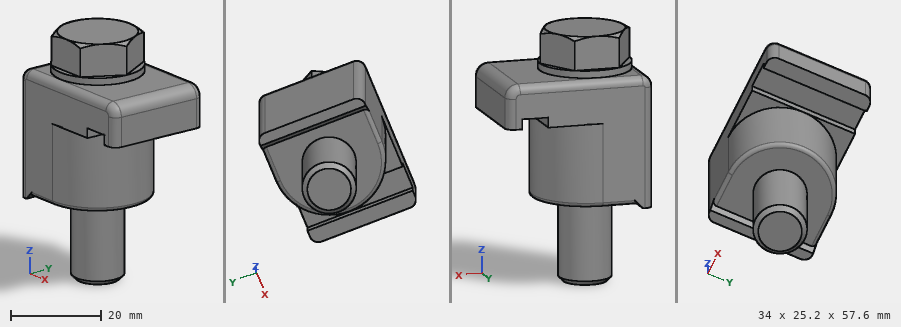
import cadquery as cq
import math

total_height = 57.6
length = 34
width = 25.2
half_width = width / 2

bolt_x = 12.05
head_height = 7.5
head_across_flats = 18.0
head_chamfer_angle = 30
washer_diameter = 20.9
washer_thickness = 1.6
shank_diameter = 12.0
shank_chamfer = 1.15

body_top = total_height - head_height - washer_thickness
arm_bottom = body_top - 10.0
notch_top = body_top - 7.7
leg_bottom = body_top - 29.0
lip_bottom = body_top - 30.0

leg_end = 24.4
notch_end = 30.45
lip_thickness = 2.4
lip_slope_end = lip_thickness + leg_bottom - lip_bottom

corner_radius = 2.0
left_top_radius = 2.5
right_top_radius = 3.0
leg_bottom_radius = 1.0


def side_prism(points):
    """Extrude an XZ outline over the full width of the clamp."""
    return cq.Workplane("XZ").polyline(points).close().extrude(half_width, both=True)


def make_arm():
    """Top plate with a downturned hook at its free end."""
    return side_prism([
        (0, arm_bottom),
        (0, body_top),
        (length, body_top),
        (length, arm_bottom),
        (notch_end, arm_bottom),
        (notch_end, notch_top),
        (leg_end, notch_top),
        (leg_end, arm_bottom),
    ])


def make_leg():
    """Block below the arm, ending in a half cylinder, with rounded lower edges."""
    round_start = leg_end - half_width
    leg = (
        cq.Workplane("XY", origin=(0, 0, leg_bottom))
        .moveTo(0, -half_width)
        .lineTo(round_start, -half_width)
        .threePointArc((leg_end, 0), (round_start, half_width))
        .lineTo(0, half_width)
        .close()
        .extrude(arm_bottom - leg_bottom)
    )
    return leg.faces("<Z").edges("not(<X)").fillet(leg_bottom_radius)


def make_lip():
    """Wall at the left face that projects below the leg with a sloped inner side."""
    slope_height = leg_bottom_radius
    return side_prism([
        (0, lip_bottom),
        (lip_thickness, lip_bottom),
        (lip_slope_end + slope_height, leg_bottom + slope_height),
        (0, leg_bottom + slope_height),
    ])


def make_envelope():
    """Block with the rounded outer edges shared by the arm, leg and lip."""
    block = (
        cq.Workplane("XY", origin=(0, 0, lip_bottom))
        .box(length, width, body_top - lip_bottom, centered=(False, True, False))
    )
    block = block.faces("<X").edges(">Z").fillet(left_top_radius)
    block = block.faces(">X").edges(">Z").fillet(right_top_radius)
    return block.faces("<Y or >Y").edges("not(<Z)").fillet(corner_radius)


def make_bolt():
    """Hexagon bolt with its washer, standing on the Z origin."""
    head_corner = head_across_flats / math.sqrt(3)
    head_bottom = total_height - head_height
    head = (
        cq.Workplane("XY", origin=(bolt_x, 0, head_bottom))
        .polygon(6, 2 * head_corner)
        .extrude(head_height)
    )
    bevel_width = head_corner - head_across_flats / 2
    bevel_drop = bevel_width * math.tan(math.radians(head_chamfer_angle))
    bevel = (
        cq.Workplane("XY", origin=(bolt_x, 0, head_bottom))
        .circle(head_corner)
        .extrude(head_height)
        .faces(">Z")
        .chamfer(bevel_drop, bevel_width)
    )
    washer = (
        cq.Workplane("XY", origin=(bolt_x, 0, body_top))
        .circle(washer_diameter / 2)
        .extrude(washer_thickness)
    )
    shank = (
        cq.Workplane("XY", origin=(bolt_x, 0, 0))
        .circle(shank_diameter / 2)
        .extrude(body_top)
        .faces("<Z")
        .chamfer(shank_chamfer)
    )
    return head.intersect(bevel).union(washer).union(shank)


clamp = make_arm().union(make_leg()).union(make_lip()).intersect(make_envelope())
result = clamp.union(make_bolt())